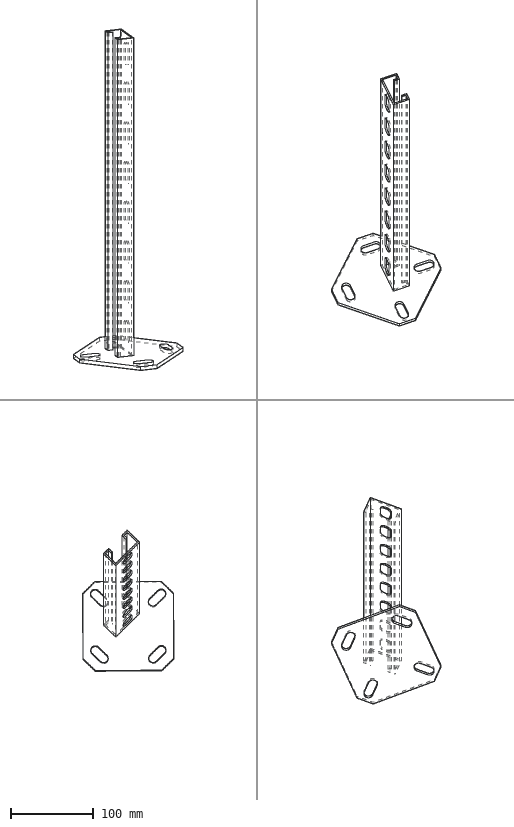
import cadquery as cq

plate_span = 134.5
corner_flat = 21.0
plate_thickness = 5.0
plate_slot_length = 25.0
plate_slot_width = 11.0
plate_slot_radius = 49.5

overall_height = 405
channel_height = overall_height - plate_thickness
channel_width = 41.0
channel_depth = 21.0
channel_wall = 2.0
channel_opening = 22.5
lip_return = 7.0
channel_back_y = -0.97

back_slot_count = 8
back_slot_length = 28.0
back_slot_width = 14.0
back_slot_pitch = channel_height / back_slot_count


def make_base_plate():
    half_span = plate_span / 2
    half_flat = corner_flat / 2
    outline = [
        (half_span, -half_flat),
        (half_span, half_flat),
        (half_flat, half_span),
        (-half_flat, half_span),
        (-half_span, half_flat),
        (-half_span, -half_flat),
        (-half_flat, -half_span),
        (half_flat, -half_span),
    ]
    plate = cq.Workplane("XY").polyline(outline).close().extrude(plate_thickness)

    slot_places = [
        (plate_slot_radius, 0, 90),
        (0, plate_slot_radius, 0),
        (-plate_slot_radius, 0, 0),
        (0, -plate_slot_radius, 90),
    ]
    for x, y, angle in slot_places:
        slot = (
            cq.Workplane("XY")
            .center(x, y)
            .slot2D(plate_slot_length, plate_slot_width, angle)
            .extrude(plate_thickness)
        )
        plate = plate.cut(slot)
    return plate


def make_channel():
    half_width = channel_width / 2
    half_opening = channel_opening / 2
    front_y = channel_back_y - channel_depth
    inner_half_width = half_width - channel_wall
    inner_front_y = front_y + channel_wall
    inner_back_y = channel_back_y - channel_wall
    lip_end_y = front_y + lip_return
    lip_outer_x = half_opening + channel_wall

    right_half = [
        (half_width, channel_back_y),
        (half_width, front_y),
        (half_opening, front_y),
        (half_opening, lip_end_y),
        (lip_outer_x, lip_end_y),
        (lip_outer_x, inner_front_y),
        (inner_half_width, inner_front_y),
        (inner_half_width, inner_back_y),
    ]
    left_half = [(-x, y) for x, y in reversed(right_half)]
    channel = (
        cq.Workplane("XY", origin=(0, 0, plate_thickness))
        .polyline(right_half + left_half)
        .close()
        .extrude(channel_height)
    )

    for index in range(back_slot_count):
        slot_z = plate_thickness + (index + 0.5) * back_slot_pitch
        slot = (
            cq.Workplane("XZ", origin=(0, channel_back_y, slot_z))
            .slot2D(back_slot_length, back_slot_width, 90)
            .extrude(channel_wall)
        )
        channel = channel.cut(slot)
    return channel


base_plate = make_base_plate()
channel = make_channel()

result = cq.Compound.makeCompound([base_plate.val(), channel.val()])